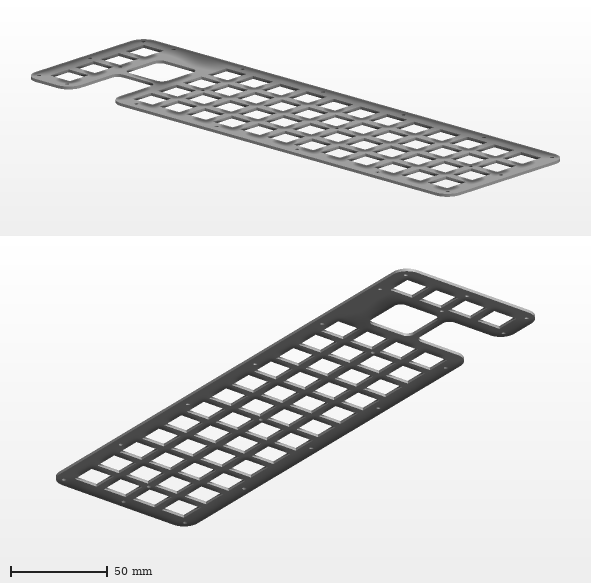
import cadquery as cq


LENGTH = 301.61
THICKNESS = 1.6
CORNER_RADIUS = 8.73125

PITCH = 19.05
OPENING = 0.75 * PITCH
ROWS = 4
MAIN_COLUMNS = 12
BORDER = 7.14

LEG_WIDTH = 32.4
NOTCH_WIDTH = 27.9
WINDOW_TOP = 23.2
WINDOW_HEIGHT = 27.65
BRIDGE = 4.3
WINDOW_RADIUS = 4.2

HOLE_DIAMETER = 2.2
HOLE_INSET = 0.25 * PITCH
CORNER_HOLE_INSET = 5.55
LONG_EDGE_HOLE_COLUMNS = (0, 3, 6, 9)
CENTRE_LINE_HOLE_COLUMNS = (0.5, 5.5, 10.5)

WIDTH = ROWS * PITCH + 2 * BORDER
HALF_LENGTH = LENGTH / 2
HALF_WIDTH = WIDTH / 2
NOTCH_CENTRE_X = -HALF_LENGTH + LEG_WIDTH + NOTCH_WIDTH / 2
NOTCH_TOP = WINDOW_TOP - WINDOW_HEIGHT - BRIDGE
NOTCH_DEPTH = HALF_WIDTH + NOTCH_TOP
SIDE_COLUMN_X = -HALF_LENGTH + BORDER + PITCH / 2
FIRST_COLUMN_X = -SIDE_COLUMN_X - (MAIN_COLUMNS - 1) * PITCH
BOTTOM_ROW_Y = -(ROWS - 1) * PITCH / 2


def column_x(index):
    """X of a main key column; a half index lies midway between two columns."""
    return FIRST_COLUMN_X + index * PITCH


def block(width, height, centres):
    """Rectangular blocks, one plate thickness tall, at the given centres."""
    return cq.Workplane("XY").pushPoints(centres).rect(width, height).extrude(THICKNESS)


def plate_blank():
    """Rounded plate with the open notch that separates the side leg."""
    notch_centre = (NOTCH_CENTRE_X, NOTCH_TOP - NOTCH_DEPTH / 2)
    blank = block(LENGTH, WIDTH, [(0, 0)]).cut(block(NOTCH_WIDTH, NOTCH_DEPTH, [notch_centre]))

    blank = blank.edges("|Z and (not (<Y or >Y))").fillet(WINDOW_RADIUS)
    return blank.edges("|Z and (<Y or >Y)").fillet(CORNER_RADIUS)


def window():
    """Cutter for the closed rounded window above the notch."""
    centre = (NOTCH_CENTRE_X, WINDOW_TOP - WINDOW_HEIGHT / 2)
    return block(NOTCH_WIDTH, WINDOW_HEIGHT, [centre]).edges("|Z").fillet(WINDOW_RADIUS)


def key_openings():
    """Cutters for the square switch openings: one column on the leg and the main grid."""
    columns = [SIDE_COLUMN_X] + [column_x(i) for i in range(MAIN_COLUMNS)]
    rows = [BOTTOM_ROW_Y + i * PITCH for i in range(ROWS)]
    return block(OPENING, OPENING, [(x, y) for x in columns for y in rows])


def screw_holes():
    """Cutters for the screw holes along the long edges, along the centre line and in the corners."""
    leg_hole_x = SIDE_COLUMN_X + PITCH / 2
    edge_x = HALF_LENGTH - HOLE_INSET
    edge_y = HALF_WIDTH - HOLE_INSET
    corner_x = HALF_LENGTH - CORNER_HOLE_INSET
    corner_y = HALF_WIDTH - CORNER_HOLE_INSET

    long_edge_xs = [leg_hole_x] + [column_x(i) for i in LONG_EDGE_HOLE_COLUMNS]
    centre_line_xs = [-edge_x, leg_hole_x, edge_x] + [column_x(i) for i in CENTRE_LINE_HOLE_COLUMNS]

    centres = [(x, 0) for x in centre_line_xs]
    for side in (-1, 1):
        centres += [(x, side * edge_y) for x in long_edge_xs]
        centres += [(x, side * corner_y) for x in (-corner_x, corner_x)]
    return cq.Workplane("XY").pushPoints(centres).circle(HOLE_DIAMETER / 2).extrude(THICKNESS)


result = plate_blank().cut(window()).cut(key_openings()).cut(screw_holes())